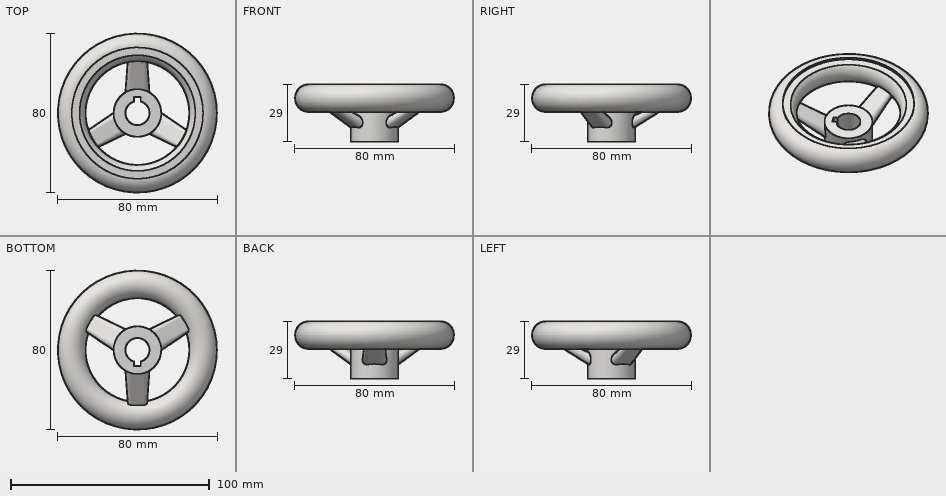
import cadquery as cq
import math

rim_outer_radius = 40.0
rim_tube_radius = 7.0
rim_center_radius = rim_outer_radius - rim_tube_radius
step_depth = 1.2

hub_radius = 12.0
hub_height = 16.0
hub_bottom = -22.0
bore_radius = 6.0
keyway_width = 3.2
keyway_reach = 8.0

spoke_count = 3
spoke_first_angle = 90.0
spoke_slope = 28.4
spoke_flat_width = 6.6
spoke_inner_radial = 8.0
spoke_inner_thickness = 5.9
spoke_outer_thickness = 2.2


def make_rim():
    tube = cq.Workplane("XZ").center(rim_center_radius, 0).circle(rim_tube_radius)
    ring = tube.revolve(360, (-rim_center_radius, 0), (-rim_center_radius, 1))
    step = (
        cq.Workplane("XY")
        .workplane(offset=rim_tube_radius - step_depth)
        .circle(rim_center_radius)
        .extrude(2 * step_depth)
    )
    return ring.cut(step)


def make_hub():
    return cq.Workplane("XY").workplane(offset=hub_bottom).circle(hub_radius).extrude(hub_height)


def make_bore():
    bore = cq.Workplane("XY").workplane(offset=hub_bottom).circle(bore_radius).extrude(hub_height)
    keyway = (
        cq.Workplane("XY")
        .workplane(offset=hub_bottom)
        .center(0, keyway_reach / 2)
        .rect(keyway_width, keyway_reach)
        .extrude(hub_height)
    )
    return bore.union(keyway)


def make_spoke():
    """One spoke rising along +X, lofted between two slot-shaped ends."""
    slope = math.radians(spoke_slope)
    run = rim_center_radius - spoke_inner_radial
    inner_end = cq.Plane(
        origin=(spoke_inner_radial, 0, -run * math.tan(slope)),
        xDir=(0, 1, 0),
        normal=(math.cos(slope), 0, math.sin(slope)),
    )
    return (
        cq.Workplane(inner_end)
        .slot2D(spoke_flat_width + spoke_inner_thickness, spoke_inner_thickness)
        .workplane(offset=run / math.cos(slope))
        .slot2D(spoke_flat_width + spoke_outer_thickness, spoke_outer_thickness)
        .loft(ruled=True)
    )


result = make_rim().union(make_hub())
spoke = make_spoke()
for index in range(spoke_count):
    angle = spoke_first_angle + index * 360 / spoke_count
    result = result.union(spoke.rotate((0, 0, 0), (0, 0, 1), angle))
result = result.cut(make_bore())